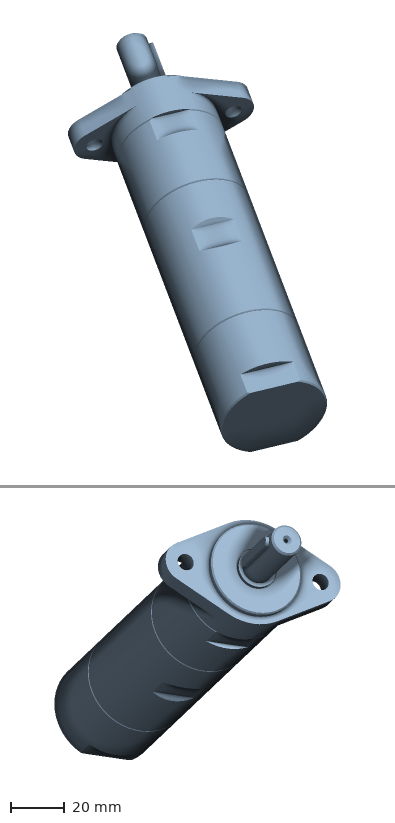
import cadquery as cq
import math

TOTAL_LENGTH = 184.3

SHAFT_DIA = 12.0
SHAFT_CHAMFER = 0.7
CENTRE_HOLE_DIA = 1.6
CENTRE_HOLE_DEPTH = 3.7
COUNTERSINK_DIA = 3.5

KEY_START = 3.0
KEY_LENGTH = 24.9
KEY_WIDTH = 4.0
KEY_TOP = 7.4

COLLAR_START = 30.2
COLLAR_DIA = 15.0
COLLAR_BORE_DIA = 16.0
COLLAR_BORE_DEPTH = 0.7

PILOT_START = 31.1
PILOT_DIA = 36.0
PILOT_CHAMFER = 0.5
UNDERCUT_WIDTH = 0.5
UNDERCUT_DEPTH = 0.4

FLANGE_START = 34.5
FLANGE_THICKNESS = 8.0
EAR_DIA = 16.0
EAR_RADIUS = EAR_DIA / 2
BOLT_SPACING = 54.0
BOLT_HOLE_DIA = 6.5

BODY_DIA = 41.5
BODY_RADIUS = BODY_DIA / 2
END_CHAMFER = 0.5

JOINT_WIDTH = 0.7
FRONT_JOINT = 51.0
MIDDLE_JOINT = 85.1
REAR_JOINT = 149.3

FLAT_HALF_HEIGHT = 19.0
FLAT_LENGTH = 10.3
MIDDLE_FLAT_START = 105.0
END_FLAT_HALF_HEIGHT = PILOT_DIA / 2
END_FLAT_LENGTH = 9.4


def cylinder(start, end, diameter):
    """Solid cylinder on the X axis between two stations."""
    return cq.Workplane("YZ", origin=(start, 0, 0)).circle(diameter / 2).extrude(end - start)


def revolved(points):
    """Revolve an (x, radius) outline about the X axis."""
    return cq.Workplane("XY").polyline(points).close().revolve(360, (0, 0, 0), (1, 0, 0))


def make_shaft():
    shaft = cylinder(0, FLANGE_START, SHAFT_DIA).faces("<X").chamfer(SHAFT_CHAMFER)
    key = (
        cq.Workplane("XZ")
        .center(KEY_START + KEY_LENGTH / 2, 0)
        .slot2D(KEY_LENGTH, KEY_WIDTH)
        .extrude(-KEY_TOP)
    )
    countersink_depth = (COUNTERSINK_DIA - CENTRE_HOLE_DIA) / 2
    centre_hole = revolved([
        (0, 0),
        (0, COUNTERSINK_DIA / 2),
        (countersink_depth, CENTRE_HOLE_DIA / 2),
        (CENTRE_HOLE_DEPTH, CENTRE_HOLE_DIA / 2),
        (CENTRE_HOLE_DEPTH, 0),
    ])
    return shaft.union(key).cut(centre_hole)


def make_pilot():
    pilot = cylinder(PILOT_START, FLANGE_START, PILOT_DIA).faces("<X").chamfer(PILOT_CHAMFER)
    undercut_start = FLANGE_START - UNDERCUT_WIDTH
    undercut = cylinder(undercut_start, FLANGE_START, PILOT_DIA).cut(
        cylinder(undercut_start, FLANGE_START, PILOT_DIA - 2 * UNDERCUT_DEPTH)
    )
    bore_end = PILOT_START + COLLAR_BORE_DEPTH
    bore = cylinder(PILOT_START, bore_end, COLLAR_BORE_DIA)
    collar = cylinder(COLLAR_START, bore_end, COLLAR_DIA)
    return pilot.cut(undercut).cut(bore).union(collar)


def make_flange_ears():
    """Two ears whose straight sides are tangent to the body circle and to the ear arc."""
    ear_centre = BOLT_SPACING / 2
    sine = (BODY_RADIUS - EAR_RADIUS) / ear_centre
    cosine = math.sqrt(1 - sine**2)
    body_y, body_z = BODY_RADIUS * sine, BODY_RADIUS * cosine
    ear_y, ear_z = ear_centre + EAR_RADIUS * sine, EAR_RADIUS * cosine
    ear = (
        cq.Workplane("YZ", origin=(FLANGE_START, 0, 0))
        .lineTo(body_y, body_z)
        .lineTo(ear_y, ear_z)
        .threePointArc((ear_centre + EAR_RADIUS, 0), (ear_y, -ear_z))
        .lineTo(body_y, -body_z)
        .close()
        .extrude(FLANGE_THICKNESS)
    )
    bolt_hole = cylinder(FLANGE_START, FLANGE_START + FLANGE_THICKNESS, BOLT_HOLE_DIA)
    ear = ear.cut(bolt_hole.translate((0, ear_centre, 0)))
    return ear.union(ear.mirror("XZ"))


def joint_groove(station):
    """Ring that cuts a 90 degree V groove into the body."""
    half_width = JOINT_WIDTH / 2
    return revolved([
        (station - half_width, BODY_RADIUS),
        (station, BODY_RADIUS - half_width),
        (station + half_width, BODY_RADIUS),
    ])


def flat_cutters(start, length, half_height, flare=0.0):
    """Cutters for a +Z and a -Z flat; flare widens the cut towards the body surface."""
    end = start + length
    upper = (
        cq.Workplane("XZ")
        .polyline([
            (start, half_height),
            (end, half_height),
            (end + flare, BODY_RADIUS),
            (start - flare, BODY_RADIUS),
        ])
        .close()
        .extrude(BODY_RADIUS, both=True)
    )
    return upper.union(upper.mirror("XY"))


def make_body():
    body = cylinder(FLANGE_START, TOTAL_LENGTH, BODY_DIA).faces(">X").chamfer(END_CHAMFER)
    for station in (FRONT_JOINT, MIDDLE_JOINT, REAR_JOINT):
        body = body.cut(joint_groove(station))
    flare = BODY_RADIUS - FLAT_HALF_HEIGHT
    end_flat_start = TOTAL_LENGTH - END_FLAT_LENGTH
    body = body.cut(flat_cutters(FRONT_JOINT - JOINT_WIDTH / 2, FLAT_LENGTH, FLAT_HALF_HEIGHT))
    body = body.cut(flat_cutters(MIDDLE_FLAT_START, FLAT_LENGTH, FLAT_HALF_HEIGHT, flare))
    return body.cut(flat_cutters(end_flat_start, END_FLAT_LENGTH, END_FLAT_HALF_HEIGHT))


result = make_body().union(make_flange_ears()).union(make_pilot()).union(make_shaft())